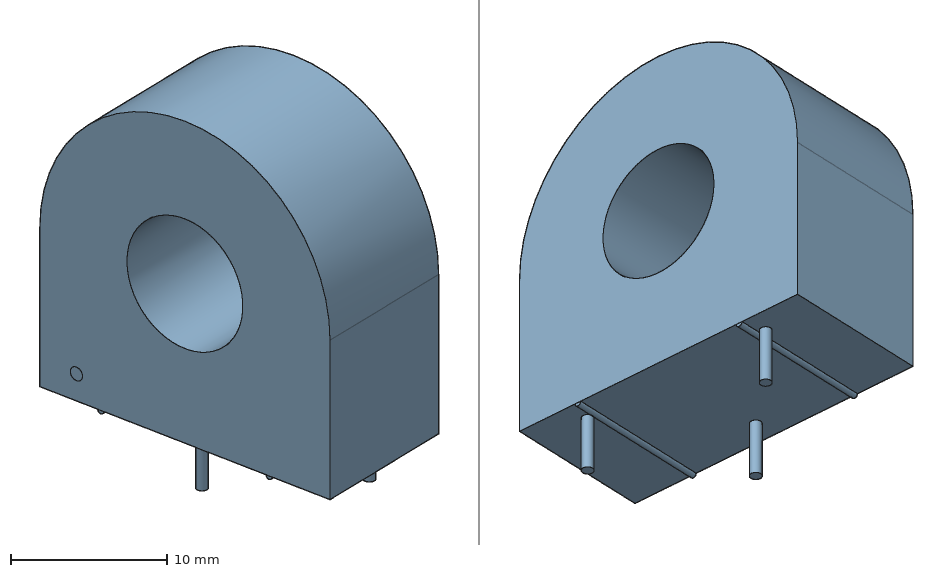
import cadquery as cq

overall_height = 27.6
width = 23.8
depth = 11.12

pin_length = 4.03
window_radius = 4.75
top_radius = width / 2
housing_height = overall_height - pin_length
arc_center_height = housing_height - top_radius
front_y = -depth / 2

pin_radius = 0.41
pin_spacing_x = 7.62
pin_row_y = 3.8
pin_positions = [
    (-pin_spacing_x, pin_row_y),
    (0, -pin_row_y),
    (pin_spacing_x, pin_row_y),
]

rib_radius = 0.25
rib_offset_x = 6.9

marker_radius = 0.5
marker_depth = 0.28
marker_x = -8.9
marker_height = 2.0


def along_depth():
    """Workplane on the front face whose normal points into the housing."""
    return cq.Workplane(cq.Plane(origin=(0, front_y, 0), xDir=(-1, 0, 0), normal=(0, 1, 0)))


def make_marker():
    return along_depth().center(-marker_x, marker_height).circle(marker_radius).extrude(marker_depth)


def make_housing():
    body = (
        along_depth()
        .moveTo(-top_radius, 0)
        .lineTo(top_radius, 0)
        .lineTo(top_radius, arc_center_height)
        .threePointArc((0, housing_height), (-top_radius, arc_center_height))
        .close()
        .extrude(depth)
    )
    window = along_depth().center(0, arc_center_height).circle(window_radius).extrude(depth)
    return body.cut(window).cut(make_marker())


def make_pin(x, y):
    return cq.Workplane("XY").center(x, y).circle(pin_radius).extrude(-pin_length)


def make_rib(x):
    return (
        along_depth()
        .moveTo(-x - rib_radius, 0)
        .threePointArc((-x, -rib_radius), (-x + rib_radius, 0))
        .close()
        .extrude(depth)
    )


housing = make_housing()
marker = make_marker()
pins = [make_pin(x, y) for x, y in pin_positions]
ribs = [make_rib(x) for x in (-rib_offset_x, rib_offset_x)]

result = cq.Compound.makeCompound(
    [
        housing.val(),
        marker.val(),
        *[pin.val() for pin in pins],
        *[rib.val() for rib in ribs],
    ]
)